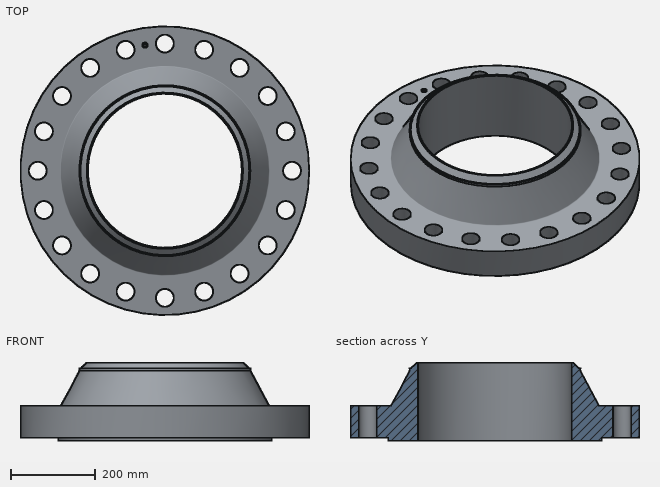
import cadquery as cq

flange_diameter = 685.5
flange_thickness = 77.0
raised_face_diameter = 507.5
raised_face_height = 7.0

overall_height = 186.0
bore_diameter = 365.0
hub_base_diameter = 495.0
hub_base_fillet = 3.0
pipe_diameter = 406.5
pipe_band = 6.0
bevel_height = 13.0
bevel_ledge = 3.5
root_face = 3.5

bolt_count = 20
bolt_circle_diameter = 603.0
bolt_hole_diameter = 42.0

pitch_angle = 360.0 / bolt_count
small_hole_diameter = 7.0
countersink_diameter = 13.0
countersink_depth = 1.5
small_hole_depth = 20.5
small_hole_angle = 90.0 + pitch_angle / 2

flange_top = raised_face_height + flange_thickness
bore_radius = bore_diameter / 2
pipe_radius = pipe_diameter / 2
bevel_top_radius = bore_radius + root_face
bevel_bottom_radius = pipe_radius - bevel_ledge
bevel_bottom = overall_height - bevel_height


def make_body():
    """Revolve the half section of the flange, hub and bevelled weld end."""
    section = [
        (bore_radius, 0),
        (raised_face_diameter / 2, 0),
        (raised_face_diameter / 2, raised_face_height),
        (flange_diameter / 2, raised_face_height),
        (flange_diameter / 2, flange_top),
        (hub_base_diameter / 2, flange_top),
        (pipe_radius, bevel_bottom - pipe_band),
        (pipe_radius, bevel_bottom),
        (bevel_bottom_radius, bevel_bottom),
        (bevel_top_radius, overall_height),
        (bore_radius, overall_height),
    ]
    body = cq.Workplane("XZ").polyline(section).close().revolve(360, (0, 0), (0, 1))
    flange_rim = (flange_diameter / 2, 0, flange_top)
    flange_face = body.faces(cq.selectors.NearestToPointSelector(flange_rim))
    hub_base_edge = flange_face.edges(cq.selectors.RadiusNthSelector(0))
    return hub_base_edge.fillet(hub_base_fillet)


def make_bolt_holes():
    """Cylinders through the flange plate, one of them on the +X axis."""
    return (
        cq.Workplane("XY")
        .polarArray(bolt_circle_diameter / 2, 0, 360, bolt_count)
        .circle(bolt_hole_diameter / 2)
        .extrude(flange_top)
    )


def make_small_hole():
    """Countersunk blind hole in the top of the flange plate, on the bolt circle."""
    section = [
        (0, 0),
        (countersink_diameter / 2, 0),
        (small_hole_diameter / 2, -countersink_depth),
        (small_hole_diameter / 2, -small_hole_depth),
        (0, -small_hole_depth),
    ]
    hole = cq.Workplane("XZ").polyline(section).close().revolve(360, (0, 0), (0, 1))
    on_bolt_circle = hole.translate((bolt_circle_diameter / 2, 0, flange_top))
    return on_bolt_circle.rotate((0, 0, 0), (0, 0, 1), small_hole_angle)


result = make_body().cut(make_bolt_holes()).cut(make_small_hole())